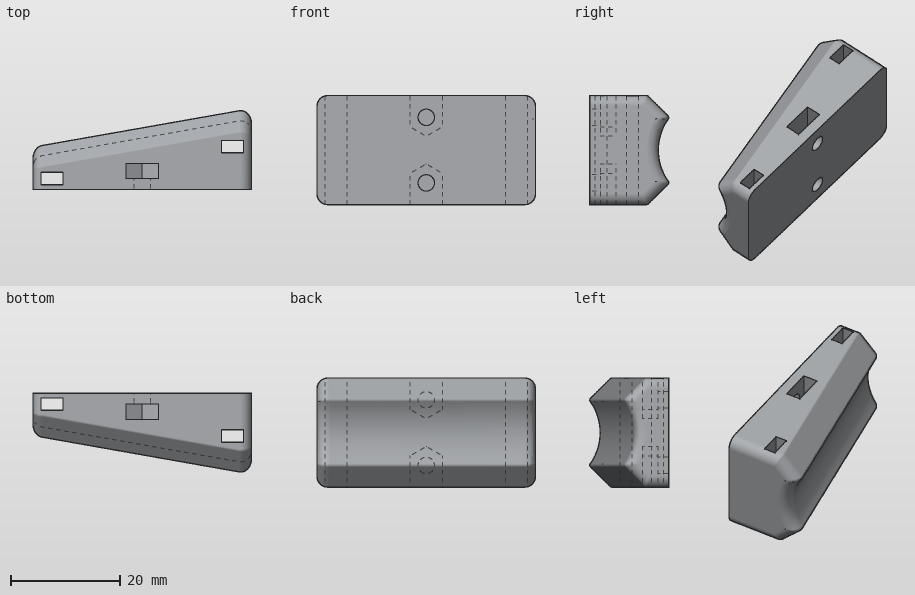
import cadquery as cq
import math

length = 40.0
height = 20.0
slope_angle = 10.0
low_end_thickness = 5.92
bar_radius = 10.0
bevel = 4.0
channel_half_width = height / 2 - bevel
ridge_height = bar_radius - math.sqrt(bar_radius**2 - channel_half_width**2)
end_fillet = 2.0
front_fillet = 0.5

screw_diameter = 3.0
screw_spacing = 12.0
nut_width = 6.0
nut_slot_start = 2.0
nut_slot_thickness = 2.8

tie_slot_width = 4.0
tie_slot_thickness = 2.2
tie_slot_spacing = 33.0
tie_slot_wall = 4.5

slope = math.tan(math.radians(slope_angle))


def sloped_bar():
    """Long bar with the front profile, tilted so that its channel floor follows the slope."""
    depth = length
    half_run = 2 * length
    bar = (
        cq.Workplane("YZ")
        .moveTo(-depth, -height / 2)
        .lineTo(ridge_height - bevel, -height / 2)
        .lineTo(ridge_height, -channel_half_width)
        .threePointArc((0, 0), (ridge_height, channel_half_width))
        .lineTo(ridge_height - bevel, height / 2)
        .lineTo(-depth, height / 2)
        .close()
        .extrude(half_run, both=True)
    )
    tilted_bar = bar.rotate((0, 0, 0), (0, 0, 1), slope_angle)
    return tilted_bar.translate((-length / 2, low_end_thickness, 0))


def wedge_block():
    """Sloped bar trimmed to length and to the mounting face, then rounded at the ends and along the front."""
    trim = cq.Workplane("XY").box(length, length, height, centered=(True, False, True))
    block = trim.intersect(sloped_bar())
    end_edges = block.faces("<X or >X").edges("not <Y")
    block = block.newObject(end_edges.vals()).fillet(end_fillet)
    slope_direction = cq.Vector(1, slope, 0)
    long_edges = block.edges(cq.selectors.ParallelDirSelector(slope_direction))
    return block.newObject(long_edges.vals()).fillet(front_fillet)


def screw_and_nut(side):
    """Blind screw hole with a hexagonal nut slot that opens on the side face (+1 top, -1 bottom)."""
    axis_z = side * screw_spacing / 2
    nut_slot_end = nut_slot_start + nut_slot_thickness
    nut_corner = nut_width / math.sqrt(3)
    nut_side_end = axis_z - side * nut_corner / 2
    hole = (
        cq.Workplane("XZ")
        .center(0, axis_z)
        .circle(screw_diameter / 2)
        .extrude(-nut_slot_end)
    )
    nut_slot = (
        cq.Workplane("XZ", origin=(0, nut_slot_start, 0))
        .moveTo(-nut_width / 2, side * height / 2)
        .lineTo(-nut_width / 2, nut_side_end)
        .lineTo(0, axis_z - side * nut_corner)
        .lineTo(nut_width / 2, nut_side_end)
        .lineTo(nut_width / 2, side * height / 2)
        .close()
        .extrude(-nut_slot_thickness)
    )
    return hole.union(nut_slot)


def tie_slot(x):
    """Slot through the full height, keeping the same wall to the channel floor at each end."""
    channel_floor_y = low_end_thickness + slope * (x + length / 2)
    return (
        cq.Workplane("XY")
        .box(tie_slot_width, tie_slot_thickness, height)
        .translate((x, channel_floor_y - tie_slot_wall, 0))
    )


result = wedge_block()
for direction in (-1, 1):
    result = result.cut(screw_and_nut(direction))
    result = result.cut(tie_slot(direction * tie_slot_spacing / 2))